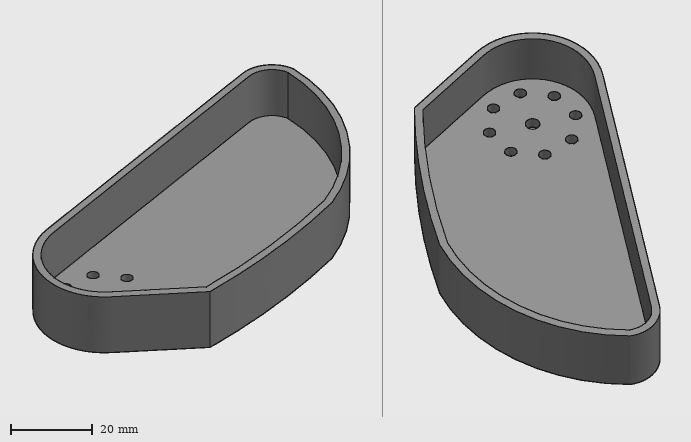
import cadquery as cq
import math

height = 17.0
wall = 2.0
floor_thickness = 3.0

hub_radius = 17.5
tip_radius = 9.0
overall_length = 107.5
tip_y = overall_length - hub_radius - tip_radius
overall_width = 54.6
shoulder = (overall_width - hub_radius, 47.0)
lower_corner = (30.1, 0.0)
shoulder_radius = 50.5
side_radius = 191.3
tip_end_angle = 85.0

center_hole_diameter = 3.5
bolt_hole_diameter = 3.0
bolt_circle_radius = 11.0
bolt_count = 8


def on_circle(center_y, radius, degrees):
    """Point on a circle whose centre lies on the Y axis."""
    angle = math.radians(degrees)
    return (radius * math.cos(angle), center_y + radius * math.sin(angle))


def outline():
    left_angle = 180 - math.degrees(math.asin((hub_radius - tip_radius) / tip_y))
    lower_angle = -math.degrees(math.acos(hub_radius / lower_corner[0]))
    hub_middle_angle = (left_angle + 360 + lower_angle) / 2
    tip_middle_angle = (left_angle + tip_end_angle) / 2
    return (
        cq.Workplane("XY")
        .moveTo(*lower_corner)
        .lineTo(*on_circle(0, hub_radius, lower_angle))
        .threePointArc(
            on_circle(0, hub_radius, hub_middle_angle),
            on_circle(0, hub_radius, left_angle),
        )
        .lineTo(*on_circle(tip_y, tip_radius, left_angle))
        .threePointArc(
            on_circle(tip_y, tip_radius, tip_middle_angle),
            on_circle(tip_y, tip_radius, tip_end_angle),
        )
        .radiusArc(shoulder, shoulder_radius)
        .radiusArc(lower_corner, side_radius)
        .close()
    )


body = outline().extrude(height)
cavity = outline().offset2D(-wall).extrude(height).translate((0, 0, floor_thickness))
tray = body.cut(cavity)

center_hole = cq.Workplane("XY").circle(center_hole_diameter / 2).extrude(height)
bolt_holes = (
    cq.Workplane("XY")
    .polarArray(bolt_circle_radius, 0, 360, bolt_count)
    .circle(bolt_hole_diameter / 2)
    .extrude(height)
)
floor_holes = center_hole.union(bolt_holes)

result = tray.cut(floor_holes)